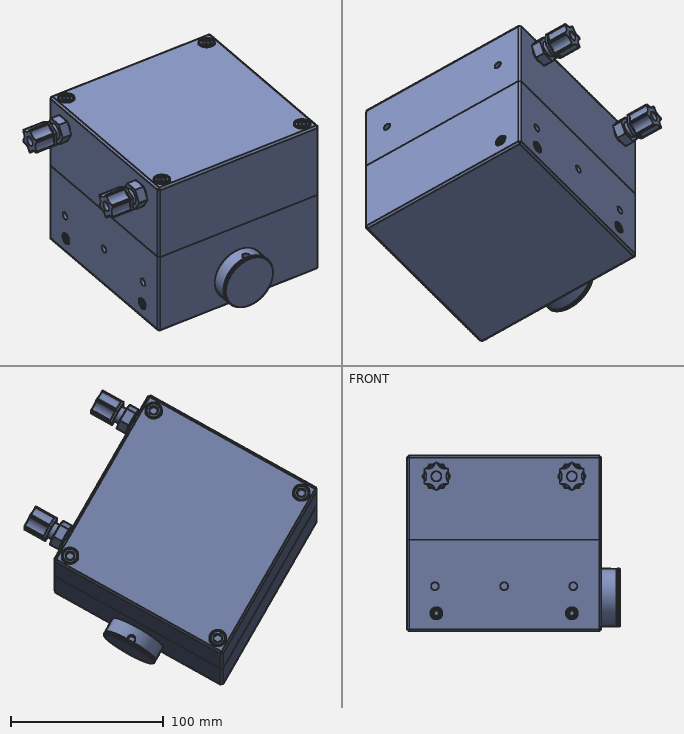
import cadquery as cq
import math

WIDTH = 127.0
HEIGHT = 115.0
SPLIT_Z = 60.0
EDGE_CHAMFER = 1.4
HALF_WIDTH = WIDTH / 2

BOSS_DIA = 38.1
BOSS_LENGTH = 12.3
BOSS_Z = 22.1
BOSS_END_CHAMFER = 0.5
END_RING_WIDTH = 1.5
RING_GROOVE_WIDTH = 0.8
RING_GROOVE_DEPTH = 0.3
BOSS_HOLE_DIA = 5.1
BOSS_HOLE_FROM_FACE = 8.4
BOSS_HOLE_DEPTH = 6.2

FITTING_X = 44.3
FITTING_Z = 101.4
FITTING_BORE_DIA = 6.5
FITTING_LENGTH = 28.5
SHANK_DIA = 10.5
NECK_DIA = 11.0
HEX_SIDES = 6
HEX_FLATS = 15.7
HEX_START = 1.9
HEX_END = 8.5
NUT_START = 12.5
NUT_COLLAR = 1.7
FLUTE_DEPTH = 1.4
NUT_LAND = 1.0

SIDE_HOLE_DIA = 5.1
SIDE_HOLE_DEPTH = 15.5
SIDE_HOLE_SPACING = 45.3
BASE_HOLE_Z = 29.5
COVER_HOLE_Z = 86.8

COVER_SCREW_OFFSET = 55.5
BASE_SCREW_Z = 11.8
BASE_FRONT_SCREW_X = 44.3
BASE_LEFT_SCREW_Y = -47.6
HEAD_CHAMFER = 0.55
COVER_SCREW = (11.0, 10.0, 6.0, 5.0, 5.9)
BASE_SCREW = (8.0, 6.8, 4.0, 3.3, 4.0)


def front_plane(x, z, y=-HALF_WIDTH):
    """Plane facing -Y, by default on the front face of the housing."""
    return cq.Plane(origin=(x, y, z), xDir=(1, 0, 0), normal=(0, -1, 0))


def left_plane(y, z):
    """Plane at the -X face whose normal points outward."""
    return cq.Plane(origin=(-HALF_WIDTH, y, z), xDir=(0, -1, 0), normal=(-1, 0, 0))


def top_plane(x, y):
    """Plane at the top face, turned so that a hexagon on it points along Y."""
    return cq.Plane(origin=(x, y, HEIGHT), xDir=(0, 1, 0), normal=(0, 0, 1))


def across_corners(flats):
    """Corner-to-corner width of a hexagon with the given width across flats."""
    return flats / math.cos(math.pi / HEX_SIDES)


def screw_cut(plane, size):
    """Space around a flush, chamfered screw head and the countersunk hex socket inside it."""
    counterbore_dia, head_dia, head_height, socket_flats, countersink_dia = size
    counterbore = cq.Workplane("XY").circle(counterbore_dia / 2).extrude(-head_height)
    head = cq.Workplane("XY").circle(head_dia / 2).extrude(-head_height)
    head = head.faces(">Z").chamfer(HEAD_CHAMFER)
    socket = cq.Workplane("XY").polygon(HEX_SIDES, across_corners(socket_flats)).extrude(-head_height / 2)
    countersink_radius = countersink_dia / 2
    countersink = cq.Solid.makeCone(
        countersink_radius, 0, countersink_radius, dir=cq.Vector(0, 0, -1)
    )
    cut = counterbore.cut(head).union(socket).union(cq.Workplane(countersink))
    return cut.val().moved(cq.Location(plane))


def side_hole(plane):
    """Blind hole into the face on which the plane lies."""
    return cq.Workplane(plane).circle(SIDE_HOLE_DIA / 2).extrude(-SIDE_HOLE_DEPTH)


def make_lower_half():
    """Plain block filling the space below the split."""
    return cq.Workplane("XY").box(WIDTH, WIDTH, SPLIT_Z, centered=(True, True, False))


def make_block():
    """Whole chamfered housing before the split."""
    return (
        cq.Workplane("XY")
        .box(WIDTH, WIDTH, HEIGHT, centered=(True, True, False))
        .edges()
        .chamfer(EDGE_CHAMFER)
    )


def make_base():
    """Lower housing part with front holes, and screws in the -Y and -X faces."""
    base = make_block().intersect(make_lower_half())
    for x in (-SIDE_HOLE_SPACING, 0, SIDE_HOLE_SPACING):
        base = base.cut(side_hole(front_plane(x, BASE_HOLE_Z)))
    for x in (-BASE_FRONT_SCREW_X, BASE_FRONT_SCREW_X):
        base = base.cut(screw_cut(front_plane(x, BASE_SCREW_Z), BASE_SCREW))
    return base.cut(screw_cut(left_plane(BASE_LEFT_SCREW_Y, BASE_SCREW_Z), BASE_SCREW))


def make_cover():
    """Upper housing part with holes in the -X face and a screw in each top corner."""
    cover = make_block().cut(make_lower_half())
    for y in (-SIDE_HOLE_SPACING, SIDE_HOLE_SPACING):
        cover = cover.cut(side_hole(left_plane(y, COVER_HOLE_Z)))
    for x in (-COVER_SCREW_OFFSET, COVER_SCREW_OFFSET):
        for y in (-COVER_SCREW_OFFSET, COVER_SCREW_OFFSET):
            cover = cover.cut(screw_cut(top_plane(x, y), COVER_SCREW))
    return cover


def make_boss():
    """Sleeve with a radial hole, closed by an end ring behind a fine groove."""
    sleeve_length = BOSS_LENGTH - END_RING_WIDTH - RING_GROOVE_WIDTH

    def boss_disc(start, length, dia):
        plane = cq.Plane(origin=(HALF_WIDTH + start, 0, BOSS_Z), xDir=(0, 1, 0), normal=(1, 0, 0))
        return cq.Workplane(plane).circle(dia / 2).extrude(length)

    radial_hole = (
        cq.Workplane("XY", origin=(HALF_WIDTH + BOSS_HOLE_FROM_FACE, 0, BOSS_Z + BOSS_DIA / 2))
        .circle(BOSS_HOLE_DIA / 2)
        .extrude(-BOSS_HOLE_DEPTH)
    )
    sleeve = boss_disc(0, sleeve_length, BOSS_DIA).cut(radial_hole)
    groove_core = boss_disc(sleeve_length, RING_GROOVE_WIDTH, BOSS_DIA - 2 * RING_GROOVE_DEPTH)
    end_ring = boss_disc(BOSS_LENGTH - END_RING_WIDTH, END_RING_WIDTH, BOSS_DIA)
    end_ring = end_ring.faces(">X").chamfer(BOSS_END_CHAMFER)
    return sleeve.union(groove_core).union(end_ring)


def make_fitting(x):
    """Shank, hex, neck and fluted nut in a row along -Y, with a bore."""

    def section(start):
        return cq.Workplane(front_plane(x, FITTING_Z, -HALF_WIDTH - start))

    corner_dia = across_corners(HEX_FLATS)
    nut_length = FITTING_LENGTH - NUT_START
    fitting = section(0).circle(SHANK_DIA / 2).extrude(HEX_START)
    fitting = fitting.union(section(HEX_START).polygon(HEX_SIDES, corner_dia).extrude(HEX_END - HEX_START))
    fitting = fitting.union(section(HEX_END).circle(NECK_DIA / 2).extrude(NUT_START - HEX_END))
    nut_plane = section(NUT_START).transformed(rotate=(0, 0, 180 / HEX_SIDES))
    fitting = fitting.union(nut_plane.polygon(HEX_SIDES, corner_dia).extrude(nut_length))

    half_flute = corner_dia / 4 - NUT_LAND
    for index in range(HEX_SIDES):
        flute = (
            section(NUT_START + NUT_COLLAR)
            .transformed(rotate=(0, 0, 360 / HEX_SIDES * index))
            .moveTo(HEX_FLATS / 2, -half_flute)
            .threePointArc((HEX_FLATS / 2 - FLUTE_DEPTH, 0), (HEX_FLATS / 2, half_flute))
            .close()
            .extrude(nut_length)
        )
        fitting = fitting.cut(flute)
    return fitting.cut(section(0).circle(FITTING_BORE_DIA / 2).extrude(FITTING_LENGTH))


base = make_base()
cover = make_cover()
boss = make_boss()
fittings = [make_fitting(x) for x in (-FITTING_X, FITTING_X)]

result = cq.Compound.makeCompound(
    [base.val(), cover.val(), boss.val(), *[fitting.val() for fitting in fittings]]
)